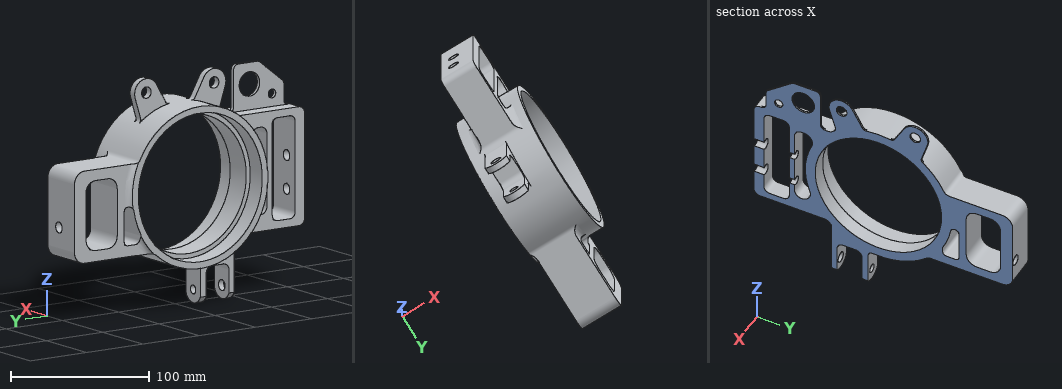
import cadquery as cq
import math


ring_width = 52.2
ring_radius = 60.0
bore_radius = 51.5
counterbore_radius = 55.0
near_counterbore_depth = 15.0
far_counterbore_depth = 17.2
end_allowance = 10.0
blend_radius = 5.0

front_block_x = (13.0, 40.5)
front_block_y = (-102.0, 0.0)
front_block_z = (-42.7, 45.4)
front_block_corner = 5.0
front_window_y = (-93.5, -73.1)
front_window_z = (-36.5, 39.7)
front_window_corner = 4.7
front_slot_y = (-68.4, 0.0)
front_slot_z = (-30.2, 34.5)
front_slot_outer_corner = 5.5
front_slot_ring_corner = 7.0

back_block_x = (2.7, 36.0)
back_block_y = (0.0, 110.0)
back_block_z = (-44.1, 24.2)
back_block_corner = 9.0
back_window_y = (72.0, 99.7)
back_window_z = (-35.8, 16.0)
back_window_corner = 8.5
back_slot_y = (52.7, 65.8)
back_slot_z = (-35.8, -7.2)
back_slot_corner = 3.0

clearance_diameter = 8.0
tapped_diameter = 6.5
front_bolt_x = 23.8
front_bolt_heights = (8.2, -16.8)
back_bolt_x = 22.1
back_bolt_z = -19.7

lug_x = 25.0
root_fillet = 3.0

ear_thickness = 6.0
ear_y = 30.1
ear_z = 69.5
ear_radius = 10.5
ear_hole_diameter = 8.3
ear_taper = math.radians(6.0)

plate_thickness = 3.2
plate_y = (-92.2, -47.3)
plate_top = 80.5
plate_slope_start_y = -70.0
plate_slope_end_z = 62.8
plate_corner = 4.0
plate_root_fillet = 3.5
plate_large_hole = (-61.5, 64.5, 18.0)
plate_small_hole = (-81.6, 55.0, 6.4)

clevis_x = (11.6, 29.7)
clevis_y = (-38.5, -8.2)
clevis_gap_y = (-33.7, -13.6)
clevis_gap_top = -62.2
clevis_gap_corner = 5.0
clevis_pin_z = -80.0
clevis_tip_radius = 10.0


def middle(span):
    return (span[0] + span[1]) / 2


def length(span):
    return span[1] - span[0]


def box(x_span, y_span, z_span):
    """Box filling three (minimum, maximum) spans."""
    spans = (x_span, y_span, z_span)
    solid = cq.Workplane("XY").box(*[length(span) for span in spans])
    return solid.translate(tuple(middle(span) for span in spans))


def rounded_box(x_span, y_span, z_span, corner):
    """Box whose edges along X are all rounded."""
    return box(x_span, y_span, z_span).edges("|X").fillet(corner)


def cylinder_x(y, z, radius, x_span):
    plane = cq.Workplane("YZ", origin=(x_span[0], 0, 0))
    return plane.center(y, z).circle(radius).extrude(length(x_span))


def cylinder_y(x, z, diameter, y_span):
    return cq.Workplane(
        cq.Solid.makeCylinder(
            diameter / 2, length(y_span), cq.Vector(x, y_span[0], z), cq.Vector(0, 1, 0)
        )
    )


def front_block():
    block = box(front_block_x, front_block_y, front_block_z)
    block = block.edges("|X and <Y").fillet(front_block_corner)
    window = rounded_box(front_block_x, front_window_y, front_window_z, front_window_corner)
    return block.cut(window)


def back_block():
    block = box(back_block_x, back_block_y, back_block_z)
    block = block.edges("|X and >Y").fillet(back_block_corner)
    window = rounded_box(back_block_x, back_window_y, back_window_z, back_window_corner)
    return block.cut(window)


def slot_beside_ring(y_span, z_span):
    """Sharp-cornered slot whose side towards the axis follows the ring's outer surface."""
    through = (0, ring_width)
    return box(through, y_span, z_span).cut(cylinder_x(0, 0, ring_radius, through))


def front_slot():
    slot = slot_beside_ring(front_slot_y, front_slot_z)
    slot = slot.edges("|X and (not <Y)").fillet(front_slot_ring_corner)
    return slot.edges("|X and <Y").fillet(front_slot_outer_corner)


def back_slot():
    return slot_beside_ring(back_slot_y, back_slot_z).edges("|X").fillet(back_slot_corner)


def on_ring_surface(edge):
    tolerance = 1e-3
    points = [edge.positionAt(fraction) for fraction in (0.0, 0.3, 0.7, 1.0)]
    return all(abs(math.hypot(p.y, p.z) - ring_radius) < tolerance for p in points)


def joint_edges(body, x_span):
    """Edges on the ring's outer surface that lie strictly between two X positions."""
    joints = []
    for edge in body.edges().vals():
        bounds = edge.BoundingBox()
        between_ends = x_span[0] < bounds.xmin and bounds.xmax < x_span[1]
        if between_ends and on_ring_surface(edge):
            joints.append(edge)
    return body.newObject(joints)


def drum_with_blocks():
    """Solid drum with both blocks blended into it, trimmed to the ring width."""
    drum_x = (-end_allowance, ring_width + end_allowance)
    drum = cylinder_x(0, 0, ring_radius, drum_x)
    drum = drum.rotate((0, 0, 0), (1, 0, 0), 90)
    body = drum.union(front_block()).union(back_block())
    body = joint_edges(body, drum_x).fillet(blend_radius)
    side_span = (-2 * ring_radius, 2 * ring_radius)
    return body.intersect(box((0, ring_width), side_span, side_span))


def ear(side):
    """Tapered ear pointing away from the ring axis; side is +1 for +Y and -1 for -Y."""
    tip_distance = math.hypot(ear_y, ear_z)
    tangent_y = ear_radius * math.cos(ear_taper)
    tangent_z = tip_distance + ear_radius * math.sin(ear_taper)
    root_z = bore_radius
    root_y = tangent_y + (tangent_z - root_z) * math.tan(ear_taper)
    upright = (
        cq.Workplane("YZ", origin=(lug_x, 0, 0))
        .moveTo(-root_y, root_z)
        .lineTo(-tangent_y, tangent_z)
        .threePointArc((0, tip_distance + ear_radius), (tangent_y, tangent_z))
        .lineTo(root_y, root_z)
        .close()
        .extrude(ear_thickness)
    )
    lean = math.degrees(math.atan2(ear_y, ear_z))
    return upright.rotate((0, 0, 0), (1, 0, 0), -side * lean)


def clevis():
    """Two-legged fork hanging below the ring, with rounded leg tips."""
    bottom = clevis_pin_z - clevis_tip_radius
    legs = box(clevis_x, clevis_y, (bottom, 0))
    gap_bottom = bottom - clevis_gap_corner
    gap = rounded_box(clevis_x, clevis_gap_y, (gap_bottom, clevis_gap_top), clevis_gap_corner)
    tip = cylinder_y(middle(clevis_x), clevis_pin_z, 2 * clevis_tip_radius, clevis_y)
    stem = box(clevis_x, clevis_y, (clevis_pin_z, 0))
    return legs.intersect(tip.union(stem)).cut(gap)


def plate():
    """Upright plate with one sloping corner, standing on the -Y block."""
    base = front_block_z[1]
    blank = (
        cq.Workplane("YZ", origin=(lug_x, 0, 0))
        .moveTo(plate_y[0], base)
        .lineTo(plate_y[0], plate_slope_end_z)
        .lineTo(plate_slope_start_y, plate_top)
        .lineTo(plate_y[1], plate_top)
        .lineTo(plate_y[1], base)
        .close()
        .extrude(plate_thickness)
    )
    above_base = cq.selectors.BoxSelector(
        (lug_x - 1, plate_y[0] - 1, base + 1),
        (lug_x + plate_thickness + 1, plate_y[1] + 1, plate_top + 1),
    )
    return blank.edges("|X").edges(above_base).fillet(plate_corner)


def plate_root_edges(body):
    """Edges where the plate's two end faces meet the top of the -Y block."""
    tolerance = 0.1
    base = front_block_z[1]
    edges = []
    for end_y in plate_y:
        selector = cq.selectors.BoxSelector(
            (lug_x - tolerance, end_y - tolerance, base - tolerance),
            (lug_x + plate_thickness + tolerance, end_y + tolerance, base + tolerance),
            boundingbox=True,
        )
        edges += body.edges("|X").edges(selector).vals()
    return body.newObject(edges)


def add_lugs(body):
    """Add the plate, ears and clevis with fillets at their roots."""
    body = body.union(plate())
    body = plate_root_edges(body).fillet(plate_root_fillet)
    for lug in (ear(1), ear(-1), clevis()):
        body = body.union(lug)
    root_x = (clevis_x[0] - 1, lug_x + ear_thickness + 1)
    return joint_edges(body, root_x).edges("|X").fillet(root_fillet)


def cut_bore(body):
    """Bore the ring, leaving an inner land between two counterbores."""
    far_counterbore_start = ring_width - far_counterbore_depth
    body = body.cut(cylinder_x(0, 0, bore_radius, (0, ring_width)))
    body = body.cut(cylinder_x(0, 0, counterbore_radius, (0, near_counterbore_depth)))
    return body.cut(cylinder_x(0, 0, counterbore_radius, (far_counterbore_start, ring_width)))


def cut_lug_holes(body):
    """Cut the holes along X through the ears and the plate."""
    ear_x = (lug_x, lug_x + ear_thickness)
    for side in (-1, 1):
        body = body.cut(cylinder_x(side * ear_y, ear_z, ear_hole_diameter / 2, ear_x))
    for y, z, diameter in (plate_large_hole, plate_small_hole):
        body = body.cut(cylinder_x(y, z, diameter / 2, (lug_x, lug_x + plate_thickness)))
    return body


def cut_bolt_holes(body):
    """Cut the holes along Y through the block walls and the clevis legs."""
    outer_wall = (front_block_y[0], front_window_y[0])
    inner_wall = (front_window_y[1], front_slot_y[0])
    for z in front_bolt_heights:
        body = body.cut(cylinder_y(front_bolt_x, z, clearance_diameter, outer_wall))
        body = body.cut(cylinder_y(front_bolt_x, z, tapped_diameter, inner_wall))
    back_wall = (back_window_y[1], back_block_y[1])
    body = body.cut(cylinder_y(back_bolt_x, back_bolt_z, clearance_diameter, back_wall))
    pin_x = middle(clevis_x)
    near_leg = (clevis_y[0], clevis_gap_y[0])
    far_leg = (clevis_gap_y[1], clevis_y[1])
    body = body.cut(cylinder_y(pin_x, clevis_pin_z, clearance_diameter, near_leg))
    return body.cut(cylinder_y(pin_x, clevis_pin_z, tapped_diameter, far_leg))


body = drum_with_blocks().cut(front_slot()).cut(back_slot())
body = cut_bore(add_lugs(body))
result = cut_bolt_holes(cut_lug_holes(body))